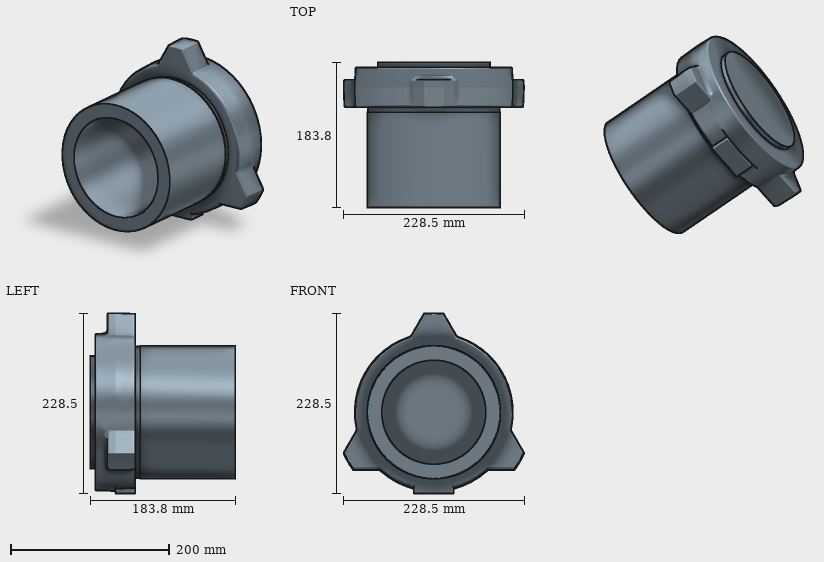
import cadquery as cq
import math


pipe_radius = 84.4
pipe_length = 126.6
neck_radius = 83.5
neck_length = 6.2
bore_radius = 65.8

stub_radius = 71.3
stub_back = 57.2
end_wall = pipe_radius - bore_radius

nut_radius = 100.1
nut_depth = 50.7
parting = 25.1
draft_angle = 2
front_round = 3.2
back_round = 2.3

wing_count = 3
wing_reach = 125.5
wing_depth = 35.2
wing_flank_distance = 73.2
wing_flank_angle = 30
wing_foot_height = 68.5
wing_back_round = 3.2
wing_root_round = 5.7
wing_tip_round = 1.1

lug_width = 51.0
lug_reach = 103.0
lug_depth = parting
lug_edge_round = 1.4

tip_limit = wing_reach - 2.3
foot_limit = wing_foot_height + 2.3
root_limit = nut_radius + 1.1
tolerance = 0.02


def cylinder(radius, y_start, y_end):
    """Solid disc about the union axis between two stations."""
    plane = cq.Workplane("XZ", origin=(0, y_start, 0))
    return plane.circle(radius).extrude(y_start - y_end)


def axis_distance(edge):
    """Distance from the union axis to the middle of an edge."""
    middle = edge.positionAt(0.5)
    return math.hypot(middle.x, middle.z)


def is_tip_edge(edge):
    """Edge of a wing tip, apart from the one in the parting plane."""
    off_parting = abs(edge.positionAt(0.5).y - parting) > tolerance
    return off_parting and axis_distance(edge) > tip_limit


def is_flank_edge(edge):
    """Edge along a wing flank, between the foot and the tip."""
    return foot_limit < axis_distance(edge) < tip_limit


def is_root_edge(edge):
    """Edge where a wing rises from the nut body."""
    y = edge.positionAt(0.5).y
    beside_wing = tolerance < y < wing_depth + tolerance
    off_parting = abs(y - parting) > tolerance
    return beside_wing and off_parting and axis_distance(edge) < root_limit


def flank_half_width(height):
    """Half width of a wing at a given height above the axis."""
    angle = math.radians(wing_flank_angle)
    return (wing_flank_distance - height * math.sin(angle)) / math.cos(angle)


def make_body(y_end):
    """Drafted disc from the parting plane to a given station."""
    plane = cq.Workplane("XZ", origin=(0, parting, 0))
    return plane.circle(nut_radius).extrude(parting - y_end, taper=draft_angle)


def make_wing(y_end):
    """Drafted upright wing from the parting plane to a given station.

    The flanks converge towards a tip that curves about the union axis.
    """
    foot = flank_half_width(wing_foot_height)
    tip_angle = math.radians(90 - wing_flank_angle) - math.acos(wing_flank_distance / wing_reach)
    tip_x = wing_reach * math.sin(tip_angle)
    tip_z = wing_reach * math.cos(tip_angle)
    outline = (
        cq.Workplane("XZ", origin=(0, parting, 0))
        .moveTo(-foot, wing_foot_height)
        .lineTo(foot, wing_foot_height)
        .lineTo(tip_x, tip_z)
        .threePointArc((0, wing_reach), (-tip_x, tip_z))
        .close()
    )
    return outline.extrude(parting - y_end, taper=draft_angle)


def add_wings(body, wing):
    """Join evenly spaced copies of a wing to a body."""
    for index in range(wing_count):
        body = body.union(wing.rotate((0, 0, 0), (0, 1, 0), index * 360 / wing_count))
    return body


def make_front_half():
    """Nut ahead of the parting plane, with its outline rounded."""
    half = add_wings(make_body(0), make_wing(0))
    half = half.edges("not %LINE").filter(is_root_edge).fillet(wing_root_round)
    outline = half.faces("<Y").edges().filter(lambda edge: axis_distance(edge) < tip_limit)
    half = outline.fillet(front_round)
    return half.edges().filter(is_tip_edge).fillet(wing_tip_round)


def make_back_half():
    """Nut behind the parting plane, where the wings end short of its back."""
    body = make_body(nut_depth).faces(">Y").edges().fillet(back_round)
    wing = make_wing(wing_depth)
    wing = wing.faces(">Y").edges().filter(is_flank_edge).fillet(wing_back_round)
    half = add_wings(body, wing)
    half = half.edges("not %LINE").filter(is_root_edge).fillet(wing_root_round)
    return half.edges().filter(is_tip_edge).fillet(wing_tip_round)


def make_lug():
    """Block that stands out at the bottom of the nut."""
    lug = cq.Workplane("XY").box(lug_width, lug_depth, lug_reach, centered=(True, False, False))
    lug = lug.translate((0, 0, -lug_reach))
    return lug.edges("<Z or |Z").fillet(lug_edge_round)


nut = make_front_half().union(make_back_half()).union(make_lug())
neck = cylinder(neck_radius, -neck_length, 0)
pipe = cylinder(pipe_radius, -pipe_length, -neck_length)
stub = cylinder(stub_radius, nut_depth, stub_back)
bore = cylinder(bore_radius, -pipe_length, stub_back - end_wall)

result = nut.union(neck).union(pipe).union(stub).cut(bore)